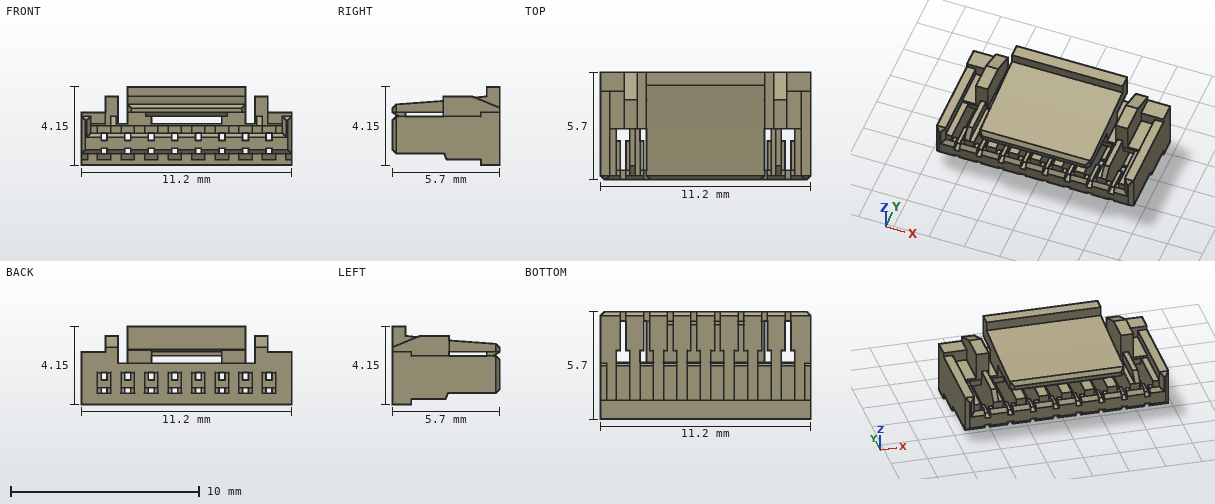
import cadquery as cq

LENGTH = 11.15
DEPTH = 5.7
CHAMFER = 0.21

PAD_Z = 0.29
FLOOR_Z = 0.6
BAR_BOTTOM_Z = 0.88
BAR_TOP_Z = 1.3
FRONT_WALL_Z = 1.7
RIB_Z = 2.07
DECK_Z = 2.2
WALL_Z = 2.59
FLANGE_Z = 2.8
ARM_BACK_Z = 3.03
ARM_Z = 3.65
TOP_Z = 4.15

LIP_DEPTH = 0.7
FLANGE_DEPTH = 1.0
ARM_RAMP_DEPTH = 1.47
PAD_DEPTH = 2.82
PAD_RAMP_DEPTH = 2.95
SLOT_BACK_DEPTH = 2.91
DECK_DEPTH = 3.01
LEDGE_DEPTH = 3.63
GUIDE_RAMP_DEPTH = 4.97
CAVITY_DEPTH = 5.2
FRONT_DEPTH = DEPTH - CHAMFER

CONTACTS = 8
PITCH = 1.25
CAVITY_WIDTH = 0.7
SLIT_WIDTH = 0.3

HALF_LENGTH = LENGTH / 2
WALL_THICKNESS = 0.5
INNER_X = HALF_LENGTH - WALL_THICKNESS
END_PAD_WIDTH = 0.32
ARM_INNER_X = 3.62
ARM_WIDTH = 0.68
ARM_OUTER_X = ARM_INNER_X + ARM_WIDTH
GUIDE_WIDTH = 0.29

LATCH_WIDTH = 6.27
LATCH_BEND_DEPTH = 2.9
LATCH_BEND_Z = 3.41
LATCH_NOSE_Z = 3.22
LATCH_BACK_Z = 2.93
LEG_GAP = 3.71
LEG_BACK_DEPTH = 1.47
HOOK_WIDTH = 4.3
HOOK_DEPTH = 5.0
HOOK_RAMP = 0.32

CONTACT_X = [(i - (CONTACTS - 1) / 2) * PITCH for i in range(CONTACTS)]


def block(x_range, depth_range, z_range):
    """Box between two X positions, two depths from the back face and two heights."""
    x0, x1 = x_range
    d0, d1 = depth_range
    z0, z1 = z_range
    solid = cq.Workplane("XY").box(x1 - x0, d1 - d0, z1 - z0, centered=False)
    return solid.translate((x0, DEPTH - d1, z0))


def prism(x_range, profile):
    """Extrude a (depth, height) profile along X."""
    x0, x1 = x_range
    points = [(DEPTH - depth, z) for depth, z in profile]
    return cq.Workplane("YZ").polyline(points).close().extrude(x1 - x0).translate((x0, 0, 0))


def span(center, width):
    """Start and end of a width centred on a position."""
    return (center - width / 2, center + width / 2)


def both_ends(solid):
    """The solid together with its mirror image across the YZ plane."""
    return solid.union(solid.mirror("YZ"))


FULL_SPAN = span(0, LENGTH)
ARM_SPAN = (-ARM_OUTER_X, -ARM_INNER_X)


def make_front():
    """U-shaped mating end: low front wall between two side walls, with chamfered rims."""
    front = block(FULL_SPAN, (FLANGE_DEPTH, DEPTH), (FLOOR_Z, WALL_Z))
    front = front.faces("<Y").chamfer(CHAMFER)
    front = front.cut(block((-INNER_X, INNER_X), (FLANGE_DEPTH, DEPTH), (FRONT_WALL_Z, TOP_Z)))
    opening_height = TOP_Z - FRONT_WALL_Z
    flare = (
        cq.Workplane("ZX", origin=(0, 0, FRONT_WALL_Z + opening_height / 2))
        .rect(opening_height + 2 * CHAMFER, 2 * (INNER_X + CHAMFER))
        .extrude(CHAMFER, taper=45)
    )
    return front.cut(flare)


def make_housing():
    """Back flange, deck and the ribs that separate the cavities."""
    housing = make_front()
    housing = housing.union(block(FULL_SPAN, (0, FLANGE_DEPTH), (0, DECK_Z)))
    housing = housing.union(block(FULL_SPAN, (0, DECK_DEPTH), (FLOOR_Z, DECK_Z)))
    shoulder = block((-HALF_LENGTH, -ARM_OUTER_X), (0, FLANGE_DEPTH), (DECK_Z, FLANGE_Z))
    housing = housing.union(both_ends(shoulder))
    rib_bar = block((-INNER_X, INNER_X), (DECK_DEPTH, FRONT_DEPTH), (FRONT_WALL_Z, RIB_Z))
    return housing.union(rib_bar)


def add_pads(body):
    """Thickened floor under each cavity and at both ends, sloped at the front."""
    profile = [(0, PAD_Z), (PAD_DEPTH, PAD_Z), (PAD_RAMP_DEPTH, FLOOR_Z), (0, FLOOR_Z)]
    for x in CONTACT_X:
        body = body.union(prism(span(x, CAVITY_WIDTH), profile))
    return body.union(both_ends(prism((-HALF_LENGTH, -HALF_LENGTH + END_PAD_WIDTH), profile)))


def cut_cavities(body):
    """Cavities open at the back and, ahead of the deck, at the top; the slot undercuts the deck edge."""
    for x in CONTACT_X:
        wide = span(x, CAVITY_WIDTH)
        narrow = span(x, SLIT_WIDTH)
        body = body.cut(block(wide, (0, LEDGE_DEPTH), (FLOOR_Z, FRONT_WALL_Z)))
        body = body.cut(block(wide, (LEDGE_DEPTH, CAVITY_DEPTH), (BAR_BOTTOM_Z, FRONT_WALL_Z)))
        body = body.cut(block(wide, (SLOT_BACK_DEPTH, FRONT_DEPTH), (FRONT_WALL_Z, RIB_Z)))
        body = body.cut(block(narrow, (LEDGE_DEPTH, DEPTH), (FLOOR_Z, BAR_BOTTOM_Z)))
        body = body.cut(block(narrow, (CAVITY_DEPTH, DEPTH), (BAR_TOP_Z, FRONT_WALL_Z)))
    return body


def make_arms():
    """Upright arms beside the latch, each with a thin guide ridge in front."""
    arm = prism(
        ARM_SPAN,
        [(0, DECK_Z), (0, ARM_BACK_Z), (ARM_RAMP_DEPTH, ARM_Z), (DECK_DEPTH, ARM_Z), (DECK_DEPTH, DECK_Z)],
    )
    guide_x = CONTACT_X[0] + CAVITY_WIDTH / 2
    guide = prism(
        (guide_x, guide_x + GUIDE_WIDTH),
        [(DECK_DEPTH, RIB_Z), (DECK_DEPTH, WALL_Z), (GUIDE_RAMP_DEPTH, WALL_Z), (FRONT_DEPTH, RIB_Z)],
    )
    return both_ends(arm.union(guide))


def make_latch():
    """Rocking latch plate on two legs, with a lip at the back and a hook under its nose."""
    half_width = LATCH_WIDTH / 2
    latch = prism(
        span(0, LATCH_WIDTH),
        [
            (0, LATCH_BACK_Z),
            (0, TOP_Z),
            (LIP_DEPTH, TOP_Z),
            (LIP_DEPTH, ARM_Z),
            (LATCH_BEND_DEPTH, LATCH_BEND_Z),
            (FRONT_DEPTH, LATCH_NOSE_Z),
            (DEPTH, LATCH_NOSE_Z - CHAMFER),
            (DEPTH, FLANGE_Z),
            (DECK_DEPTH, FLANGE_Z),
        ],
    )
    corner = (
        cq.Workplane("XY")
        .polyline([(-half_width, CHAMFER), (-half_width, 0), (-half_width + CHAMFER, 0)])
        .close()
        .extrude(TOP_Z)
    )
    latch = latch.cut(both_ends(corner))
    leg = block((-half_width, -LEG_GAP / 2), (LEG_BACK_DEPTH, DECK_DEPTH), (DECK_Z, LATCH_BACK_Z))
    hook = prism(
        span(0, HOOK_WIDTH),
        [(HOOK_DEPTH, FLANGE_Z), (HOOK_DEPTH, WALL_Z), (DEPTH - HOOK_RAMP, WALL_Z), (DEPTH, FLANGE_Z)],
    )
    return latch.union(both_ends(leg)).union(hook)


body = cut_cavities(add_pads(make_housing()))
result = body.union(make_arms()).union(make_latch())